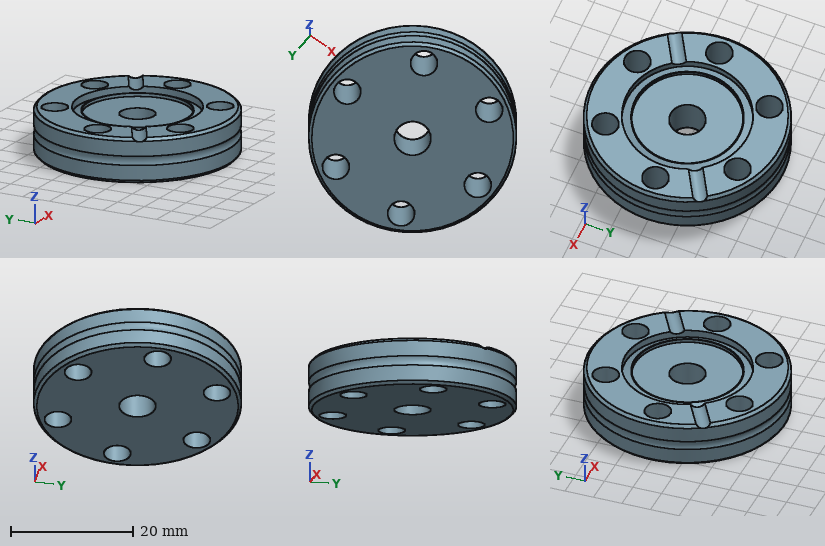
import cadquery as cq
import math

disc_diameter = 34.0
disc_height = 7.75
rim_chamfer = 0.5

rim_groove_bottom_z = 3.1
rim_groove_top_z = 4.65
rim_groove_depth = 0.17

recess_diameter = 21.5
recess_depth = 1.3
knife_edge_diameter = 18.5
knife_edge_depth = 0.65
knife_land_width = 0.15
floor_diameter = knife_edge_diameter - 2 * knife_land_width
floor_depth = 1.22

bore_diameter = 6.0
bolt_hole_diameter = 4.4
bolt_circle_diameter = 27.05
bolt_count = 6

channel_width = 2.38
channel_depth = 0.6
channel_angle = 30.0


def make_disc():
    """Chamfered disc with the shallow groove around its rim."""
    radius = disc_diameter / 2
    groove_middle_z = (rim_groove_bottom_z + rim_groove_top_z) / 2
    profile = (
        cq.Workplane("XZ")
        .lineTo(radius - rim_chamfer, 0)
        .lineTo(radius, rim_chamfer)
        .lineTo(radius, rim_groove_bottom_z)
        .threePointArc(
            (radius - rim_groove_depth, groove_middle_z),
            (radius, rim_groove_top_z),
        )
        .lineTo(radius, disc_height - rim_chamfer)
        .lineTo(radius - rim_chamfer, disc_height)
        .lineTo(0, disc_height)
        .close()
    )
    return profile.revolve(360, (0, 0, 0), (0, 1, 0))


def make_recess():
    """Recess cutter: flat floor, knife edge, then a cone falling to the outer wall."""
    profile = (
        cq.Workplane("XZ")
        .moveTo(0, disc_height)
        .lineTo(0, disc_height - floor_depth)
        .lineTo(floor_diameter / 2, disc_height - floor_depth)
        .lineTo(floor_diameter / 2, disc_height - knife_edge_depth)
        .lineTo(knife_edge_diameter / 2, disc_height - knife_edge_depth)
        .lineTo(recess_diameter / 2, disc_height - recess_depth)
        .lineTo(recess_diameter / 2, disc_height)
        .close()
    )
    return profile.revolve(360, (0, 0, 0), (0, 1, 0))


def make_channels():
    """One cylinder across the top face, which cuts both opposite channels."""
    half_width = channel_width / 2
    cutter_radius = (half_width**2 + channel_depth**2) / (2 * channel_depth)
    axis_z = disc_height - channel_depth + cutter_radius
    angle = math.radians(channel_angle)
    direction = cq.Vector(math.cos(angle), math.sin(angle), 0)
    start = cq.Vector(0, 0, axis_z) - direction * disc_diameter
    return cq.Solid.makeCylinder(cutter_radius, 2 * disc_diameter, start, direction)


def cut_through_holes(body):
    """Central bore and the ring of bolt holes."""
    body = body.faces("<Z").workplane(origin=(0, 0, 0)).hole(bore_diameter)
    return (
        body.faces("<Z")
        .workplane(origin=(0, 0, 0))
        .polarArray(bolt_circle_diameter / 2, 0, 360, bolt_count)
        .hole(bolt_hole_diameter)
    )


flange = make_disc().cut(make_recess()).cut(make_channels())
result = cut_through_holes(flange)